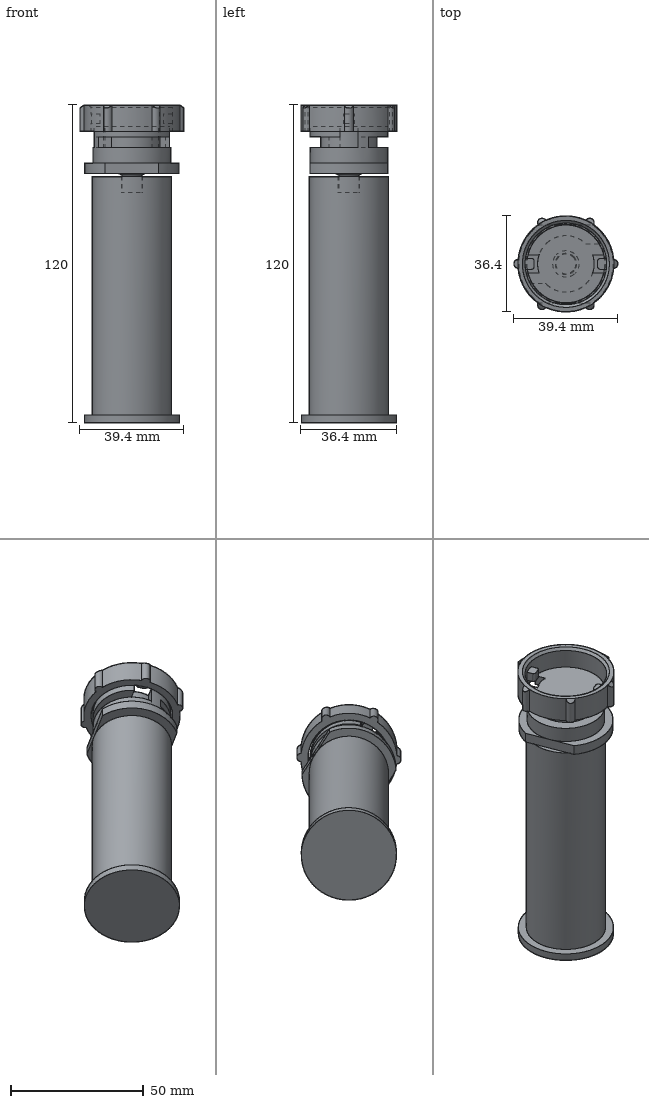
import cadquery as cq

base_height = 3.0
tube_top = 93.0
plug_bottom = tube_top + 1.1
plug_flange_height = 4.0
slot_height = 4.0
slot_bottom = 104.0
slot_top = slot_bottom + slot_height
cap_bottom = 110.0
plug_top = slot_top + slot_height
cap_top = 120.0

tube_diameter = 30.0
base_diameter = 36.0

stem_diameter = 7.5
stem_hole_diameter = 8.0
stem_hole_bottom = tube_top - 6.0
stem_top_diameter = 10.0
stem_flare_height = 0.6

plug_diameter = 29.4
plug_flange_diameter = 35.6
core_diameter = 21.4
notch_width = 6.8
slot_end_offset = 7.5

cap_diameter = 36.4
cap_bore = 30.8
cap_mouth_diameter = 32.9
cap_mouth_depth = 1.0
grip_count = 6
grip_radius = 1.7
grip_circle_diameter = 36.0
grip_slope_height = 1.2
pin_width = 4.1
pin_reach = 12.0
pin_height = 3.6
pin_corner_radius = 1.0
pin_bottom = 113.0


def cylinder(diameter, bottom, top):
    return cq.Workplane("XY").workplane(offset=bottom).circle(diameter / 2).extrude(top - bottom)


def block(x_range, y_range, z_range):
    """Box spanning the given (low, high) pairs."""
    sizes = [high - low for low, high in (x_range, y_range, z_range)]
    corner = (x_range[0], y_range[0], z_range[0])
    return cq.Workplane("XY").box(*sizes, centered=False).translate(corner)


def make_tube():
    """Plain body on a wider base flange, with a blind hole in the top for the stem."""
    body = cylinder(base_diameter, 0, base_height).union(cylinder(tube_diameter, 0, tube_top))
    return body.cut(cylinder(stem_hole_diameter, stem_hole_bottom, tube_top))


def make_stem():
    """Stem standing in the hole of the tube and flaring out below the plug."""
    flare_bottom = plug_bottom - stem_flare_height
    flare = cq.Workplane("XY").add(
        cq.Solid.makeCone(stem_diameter / 2, stem_top_diameter / 2, stem_flare_height,
                          cq.Vector(0, 0, flare_bottom))
    )
    return cylinder(stem_diameter, stem_hole_bottom, flare_bottom).union(flare)


def make_bayonet_slot():
    """Open notch on the +X side and the slot that runs from it around the -Y side."""
    reach = plug_diameter
    notch = block((0, reach), (-notch_width / 2, notch_width / 2), (slot_bottom, plug_top))
    near_notch = block((0, reach), (-reach, notch_width / 2), (slot_bottom, slot_top))
    far_end = block((-reach, 0), (-reach, -slot_end_offset), (slot_bottom, slot_top))
    core = cylinder(core_diameter, slot_bottom, plug_top)
    return notch.union(near_notch).union(far_end).cut(core)


def make_plug():
    """Bayonet plug; its flange has two flats level with the plug's diameter."""
    flange = cylinder(plug_flange_diameter, plug_bottom, plug_bottom + plug_flange_height)
    between_flats = cq.Workplane("XY").box(plug_flange_diameter, plug_diameter, 2 * cap_top)
    plug = flange.intersect(between_flats).union(cylinder(plug_diameter, plug_bottom, plug_top))
    slot = make_bayonet_slot()
    for angle in (0, 180):
        plug = plug.cut(slot.rotate((0, 0, 0), (0, 0, 1), angle))
    return plug


def make_grips():
    """Round grip ribs on the rim of the cap, sloping outward and down at the top."""
    grips = (
        cq.Workplane("XY").workplane(offset=cap_bottom)
        .polarArray(grip_circle_diameter / 2, 0, 360, grip_count)
        .circle(grip_radius)
        .extrude(cap_top - cap_bottom)
    )
    rim = cap_diameter / 2
    tip = grip_circle_diameter / 2 + grip_radius
    envelope = (
        cq.Workplane("XZ")
        .polyline([(0, cap_bottom), (tip, cap_bottom), (tip, cap_top - grip_slope_height),
                   (rim, cap_top), (0, cap_top)])
        .close()
        .revolve(360, (0, 0, 0), (0, 1, 0))
    )
    return grips.intersect(envelope)


def make_bayonet_pin():
    """Pin with rounded inner corners that points inward from the +X side of the bore."""
    wall_middle = (cap_bore + cap_diameter) / 4
    half_width = pin_width / 2
    pin = block((pin_reach, wall_middle), (-half_width, half_width), (pin_bottom, pin_bottom + pin_height))
    return pin.edges("|Z and <X").fillet(pin_corner_radius)


def make_cap():
    """Ring with a chamfered mouth, grips outside and two pins inside."""
    cap = cylinder(cap_diameter, cap_bottom, cap_top).union(make_grips())
    cap = cap.cut(cylinder(cap_bore, cap_bottom, cap_top))
    mouth = cq.Workplane("XY").add(
        cq.Solid.makeCone(cap_bore / 2, cap_mouth_diameter / 2, cap_mouth_depth,
                          cq.Vector(0, 0, cap_top - cap_mouth_depth))
    )
    cap = cap.cut(mouth)
    pin = make_bayonet_pin()
    for angle in (0, 180):
        cap = cap.union(pin.rotate((0, 0, 0), (0, 0, 1), angle))
    return cap


tube = make_tube()
stem = make_stem()
plug = make_plug()
cap = make_cap()

result = cq.Compound.makeCompound([tube.val(), stem.val(), plug.val(), cap.val()])